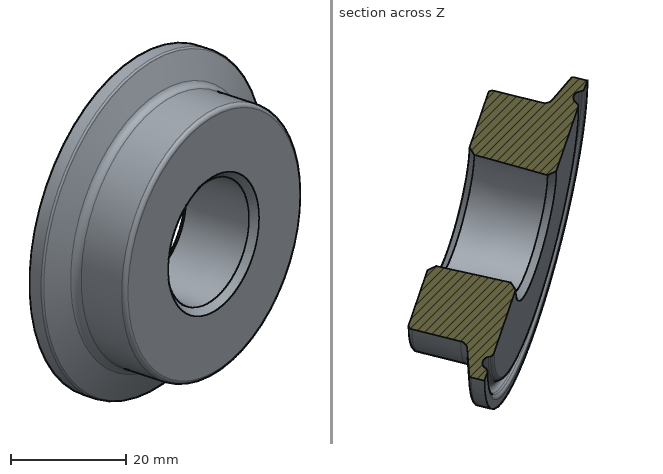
import cadquery as cq
import math

length = 15.88
flange_radius = 63.88 / 2
hub_radius = 50.8 / 2

cone_angle = math.radians(20)
hub_blend_radius = 1.59
hub_blend_end = 6.28
rim_round_radius = 0.42
hub_end_round = 0.79

bore_face_radius = 22.7 / 2
bore_taper = 1 / 16
bore_chamfer = 1.25

groove_center_radius = 28.19
groove_wall_angle = math.radians(60)
groove_bottom_half_width = 1.06
groove_wall_width = 0.19
groove_lip_width = 0.77


def arc_point(center, radius, angle):
    """Point (x, r) on a circle, with the angle measured from the +X direction."""
    return (center[0] + radius * math.cos(angle), center[1] + radius * math.sin(angle))


def make_blank():
    """Flange and hub as one solid of revolution about X."""
    blend_center = (hub_blend_end, hub_radius + hub_blend_radius)
    blend_start_angle = math.pi + cone_angle
    blend_end_angle = 3 * math.pi / 2
    blend_start = arc_point(blend_center, hub_blend_radius, blend_start_angle)
    blend_middle = arc_point(blend_center, hub_blend_radius, (blend_start_angle + blend_end_angle) / 2)

    end_round_center = (length - hub_end_round, hub_radius - hub_end_round)
    end_round_middle = arc_point(end_round_center, hub_end_round, math.pi / 4)

    round_center_r = flange_radius - rim_round_radius
    round_end_r = round_center_r + rim_round_radius * math.sin(cone_angle)
    round_end_x = blend_start[0] - (round_end_r - blend_start[1]) * math.tan(cone_angle)
    round_center = (round_end_x - rim_round_radius * math.cos(cone_angle), round_center_r)
    round_middle = arc_point(round_center, rim_round_radius, (math.pi / 2 + cone_angle) / 2)

    return (
        cq.Workplane("XY")
        .moveTo(0, 0)
        .lineTo(0, flange_radius)
        .lineTo(round_center[0], flange_radius)
        .threePointArc(round_middle, (round_end_x, round_end_r))
        .lineTo(*blend_start)
        .threePointArc(blend_middle, (hub_blend_end, hub_radius))
        .lineTo(length - hub_end_round, hub_radius)
        .threePointArc(end_round_middle, (length, hub_radius - hub_end_round))
        .lineTo(length, 0)
        .close()
        .revolve(360, (0, 0), (1, 0))
    )


def make_bore():
    """Cutting tool for the tapered through bore and its end chamfers."""
    taper_length = length - 2 * bore_chamfer
    bore_hub_radius = bore_face_radius + taper_length * bore_taper / 2

    return (
        cq.Workplane("XY")
        .moveTo(0, 0)
        .lineTo(0, bore_face_radius + bore_chamfer)
        .lineTo(bore_chamfer, bore_face_radius)
        .lineTo(length - bore_chamfer, bore_hub_radius)
        .lineTo(length, bore_hub_radius + bore_chamfer)
        .lineTo(length, 0)
        .close()
        .revolve(360, (0, 0), (1, 0))
    )


def make_groove():
    """Cutting tool for the gasket groove, symmetric about its center radius."""
    bottom_radius = groove_bottom_half_width / math.sin(groove_wall_angle)
    lip_radius = groove_lip_width / math.sin(groove_wall_angle)

    wall_inner_offset = groove_bottom_half_width
    wall_outer_offset = wall_inner_offset + groove_wall_width
    lip_offset = wall_outer_offset + groove_lip_width
    lip_middle_offset = lip_offset - lip_radius * math.sin(groove_wall_angle / 2)

    lip_middle_x = lip_radius * (1 - math.cos(groove_wall_angle / 2))
    wall_top_x = lip_radius * (1 - math.cos(groove_wall_angle))
    wall_foot_x = wall_top_x + groove_wall_width * math.tan(groove_wall_angle)
    bottom_x = wall_foot_x + bottom_radius * (1 - math.cos(groove_wall_angle))

    def outside(x, offset):
        """Profile point on the far side of the groove from the axis."""
        return (x, groove_center_radius + offset)

    def inside(x, offset):
        """Profile point on the near side of the groove to the axis."""
        return (x, groove_center_radius - offset)

    return (
        cq.Workplane("XY")
        .moveTo(*outside(0, lip_offset))
        .threePointArc(outside(lip_middle_x, lip_middle_offset), outside(wall_top_x, wall_outer_offset))
        .lineTo(*outside(wall_foot_x, wall_inner_offset))
        .threePointArc((bottom_x, groove_center_radius), inside(wall_foot_x, wall_inner_offset))
        .lineTo(*inside(wall_top_x, wall_outer_offset))
        .threePointArc(inside(lip_middle_x, lip_middle_offset), inside(0, lip_offset))
        .close()
        .revolve(360, (0, 0), (1, 0))
    )


result = make_blank().cut(make_bore()).cut(make_groove())